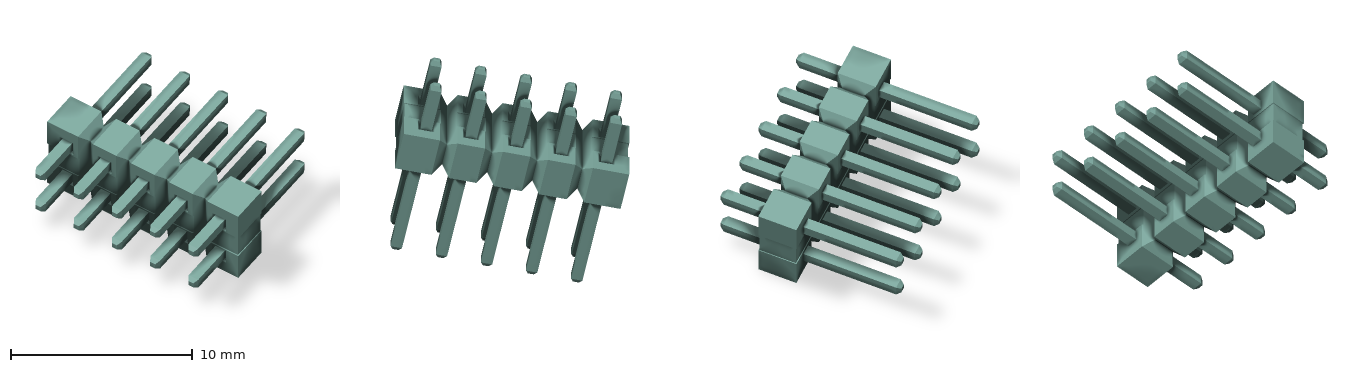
import cadquery as cq

columns = 5
rows = 2
pitch = 2.54

housing_length = columns * pitch
housing_depth = 2.3
housing_height = 4.98
notch_size = 0.5
band_height = 1.41
band_recess = 0.05

pin_width = 0.64
pin_front_length = 2.78
pin_back_length = 5.84
tip_length = 0.25
tip_width = 0.33

pocket_depth = 0.15
pocket_width = pin_width + 2 * pocket_depth

front_y = -housing_depth / 2
back_y = housing_depth / 2


def centred(count):
    """Positions of count items spaced one pitch apart and centred on zero."""
    return [(i - (count - 1) / 2) * pitch for i in range(count)]


def square_taper(center_x, center_z, start_y, start_width, end_y, end_width):
    """Square frustum along Y."""
    return (
        cq.Workplane("XZ", origin=(center_x, start_y, center_z))
        .rect(start_width, start_width)
        .workplane(offset=start_y - end_y)
        .rect(end_width, end_width)
        .loft(ruled=True)
    )


def waisted_block():
    """Housing block with a shallow recessed band around its middle."""
    block = cq.Workplane("XY").box(housing_length, housing_depth, housing_height)
    band = cq.Workplane("XY").box(housing_length, housing_depth, band_height)
    core = cq.Workplane("XY").box(
        housing_length - 2 * band_recess, housing_depth - 2 * band_recess, band_height
    )
    return block.cut(band.cut(core))


def notch_pair(plane, half_size, length):
    """Cutters for V grooves in two opposite faces, each half_size away from the centre."""
    cutters = cq.Workplane(plane)
    for side in (-1, 1):
        face = side * half_size
        cutters = cutters.polyline(
            [(-notch_size, face), (notch_size, face), (0, face - side * notch_size)]
        ).close()
    return cutters.extrude(length / 2, both=True)


def pin(center_x, center_z):
    """Square pin through the housing with a tapered tip at each end."""
    tip_front = front_y - pin_front_length
    tip_back = back_y + pin_back_length
    shank_front = tip_front + tip_length
    shank_back = tip_back - tip_length
    shank = square_taper(center_x, center_z, shank_front, pin_width, shank_back, pin_width)
    front_tip = square_taper(center_x, center_z, shank_front, pin_width, tip_front, tip_width)
    back_tip = square_taper(center_x, center_z, shank_back, pin_width, tip_back, tip_width)
    return shank.union(front_tip).union(back_tip)


housing = waisted_block()
break_notch = notch_pair("XY", housing_depth / 2, housing_height).union(
    notch_pair("XZ", housing_height / 2, housing_depth)
)
for break_x in centred(columns - 1):
    housing = housing.cut(break_notch.translate((break_x, 0, 0)))

result = housing
for x in centred(columns):
    for z in centred(rows):
        pocket = square_taper(x, z, front_y, pocket_width, front_y + pocket_depth, pin_width)
        result = result.cut(pocket).union(pin(x, z))